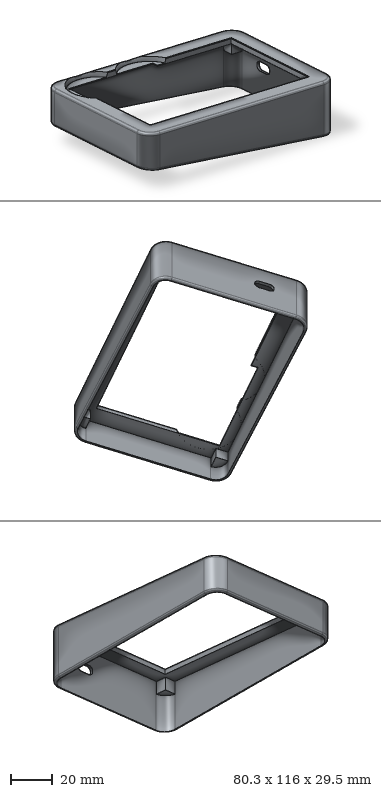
import cadquery as cq
import math

width = 80.3
length = 116.0
corner_radius = 8.0
edge_fillet = 1.4
rear_height = 29.6
slope_angle = 5.0
front_height = rear_height - length * math.tan(math.radians(slope_angle))

wall = 1.5
lip_thickness = 3.0

post_size = 6.3
post_bottom = -9.9

window_width = 60.1
window_length = 96.3
rim_chamfer = 0.3
notch_width = 3.5
notch_top = 3.0

dish_radius = 16.4
dish_taper = 0.6
dish_depth = 2.4
dish_x = -23.7
dish_centers_y = (-6.7, -37.6)

cable_slot_length = 10.0
cable_slot_height = 5.0
cable_slot_x = -15.7
cable_slot_z = -13.0


def box(x_min, x_max, y_min, y_max, z_min, z_max):
    size = (x_max - x_min, y_max - y_min, z_max - z_min)
    return cq.Workplane("XY").box(*size, centered=False).translate((x_min, y_min, z_min))


def rounded_block(block_width, block_length, radius, top):
    """Vertical block with rounded corners, reaching below the housing."""
    block = cq.Workplane("XY").rect(block_width, block_length).extrude(-2 * rear_height)
    return block.edges("|Z").fillet(radius).translate((0, 0, top))


def housing():
    side_profile = (
        cq.Workplane("YZ")
        .polyline([
            (-length / 2, 0),
            (length / 2, 0),
            (length / 2, -rear_height),
            (-length / 2, -front_height),
        ])
        .close()
        .extrude(width / 2, both=True)
    )
    body = rounded_block(width, length, corner_radius, 0).intersect(side_profile)
    return body.faces(">Z or <Z").edges().fillet(edge_fillet)


def cavity():
    half_x = width / 2 - wall
    half_y = length / 2 - wall
    space = rounded_block(2 * half_x, 2 * half_y, corner_radius - wall, -lip_thickness)
    for side_x in (-1, 1):
        for side_y in (-1, 1):
            post = cq.Workplane("XY").rect(2 * post_size, 2 * post_size).extrude(post_bottom)
            space = space.cut(post.translate((side_x * half_x, side_y * half_y, 0)))
    return space


def window():
    half_x = window_width / 2
    half_y = window_length / 2
    opening = box(-half_x, half_x, -half_y, half_y, -lip_thickness, 0)
    notch = box(-half_x - notch_width, 0, -half_y, notch_top, -lip_thickness, 0)
    return opening.union(notch).clean()


def dish(center_y):
    """Shallow round recess, slightly narrower at its floor."""
    return (
        cq.Workplane("XY")
        .center(dish_x, center_y)
        .circle(dish_radius)
        .workplane(offset=-dish_depth)
        .circle(dish_radius - dish_taper)
        .loft(ruled=True)
    )


def cable_slot():
    return (
        cq.Workplane("XZ", origin=(cable_slot_x, length / 2, cable_slot_z))
        .slot2D(cable_slot_length, cable_slot_height)
        .extrude(2 * wall)
    )


window_rim = cq.selectors.BoxSelector(
    (-width / 2 + 2 * edge_fillet, -length / 2 + 2 * edge_fillet, -rim_chamfer / 2),
    (width / 2 - 2 * edge_fillet, length / 2 - 2 * edge_fillet, rim_chamfer / 2),
)

result = housing().cut(cavity()).cut(window())
result = result.edges(window_rim).edges("#Z").chamfer(rim_chamfer)
for y in dish_centers_y:
    result = result.cut(dish(y))
result = result.cut(cable_slot())